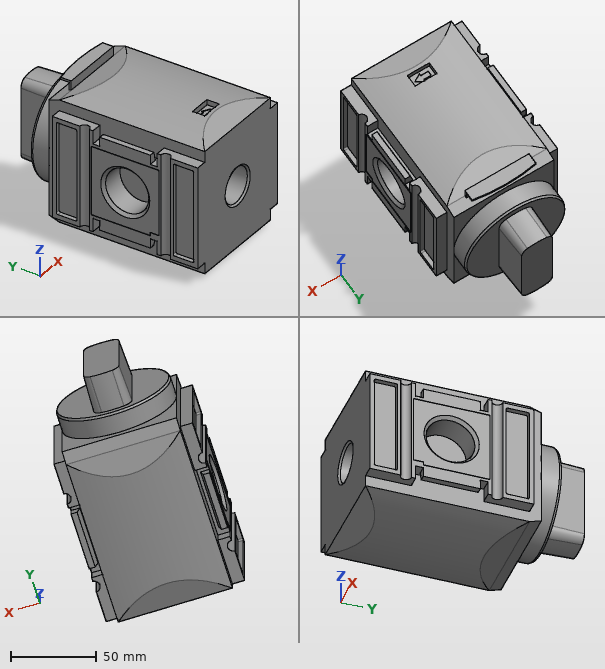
import cadquery as cq
import math

total_width = 85.0
total_length = 144.7
top_height = 48.9

core_width = 70.0
core_half_width = core_width / 2
body_length = 101.9
shoulder_height = total_width / 2
crown_height = 46.6
crown_slope_length = 15.6
collar_length = 7.4
collar_end_height = 40.0
collar_end = body_length + collar_length

pad_face_x = -total_width / 2
pad_half_height = core_half_width
port_y = body_length / 2
groove_spacing = 56.7
groove_radius = 3.3
gap_length = 45.0
gap_floor_height = 25.9
tab_length = 35.5
tab_height = 32.3
tab_tip_thickness = 3.8
tab_root_thickness = 5.5
tab_embedding = 1.5
seat_size = 47.5
seat_depth = 0.3
seat_corner_radius = 0.7
seat_key_length = 6.1
seat_key_height = 2.2
pocket_length = 14.3
pocket_height = 63.7
pocket_depth = 3.0
pocket_corner_radius = 1.0
pocket_spacing = 81.9

side_port_diameter = 30.2
side_port_chamfer = 2.0
side_port_depth = 17.4
front_port_diameter = 24.2
front_port_chamfer = 1.23
front_port_depth = 15.8

flange_diameter = core_width
flange_end = 122.0
flange_chamfer_length = 1.5
flange_chamfer_height = 0.7
grip_flat_half_height = 22.7
grip_top_half_width = 6.8
grip_edge_drop = 0.8
grip_root_half_width = 11.7
grip_root_half_height = 29.8
grip_tip_half_width = 10.9
grip_tip_half_height = 28.8

bracket_width = 44.9
bracket_thickness = 1.5
bracket_side_end = 109.4
bracket_middle_end = 111.4
bracket_foot_height = 39.0

window_y = 22.3
window_width = 15.3
window_length = 8.4
window_depth = 3.8
arrow_depth = 0.5
arrow_half_length = 5.2
arrow_shaft_half_width = 1.6
arrow_head_half_width = 3.0


def box_between(x_range, y_range, z_range):
    """Axis-aligned box from its low and high limits on each axis."""
    size = [high - low for low, high in (x_range, y_range, z_range)]
    low_corner = (x_range[0], y_range[0], z_range[0])
    return cq.Workplane("XY").box(*size, centered=False).translate(low_corner)


def along_y(start):
    """XZ sketch plane at Y = start whose normal points to +Y (sketch x is -X)."""
    return cq.Workplane(cq.Plane((0, start, 0), xDir=(-1, 0, 0), normal=(0, 1, 0)))


def make_core():
    crowned_prism = (
        along_y(0)
        .moveTo(-core_half_width, -shoulder_height)
        .lineTo(-core_half_width, shoulder_height)
        .threePointArc((0, crown_height), (core_half_width, shoulder_height))
        .lineTo(core_half_width, -shoulder_height)
        .threePointArc((0, -crown_height), (-core_half_width, -shoulder_height))
        .close()
        .extrude(collar_end)
    )
    upper_outline = [
        (0, shoulder_height),
        (crown_slope_length, crown_height),
        (body_length - crown_slope_length, crown_height),
        (body_length, shoulder_height),
        (collar_end, collar_end_height),
    ]
    lower_outline = [(y, -z) for y, z in reversed(upper_outline)]
    side_outline = (
        cq.Workplane("YZ").polyline(upper_outline + lower_outline).close()
        .extrude(core_half_width, both=True)
    )
    return crowned_prism.intersect(side_outline)


def make_tab():
    """Upper retaining tab of the -X pad: its inner face slopes out towards the root."""
    return (
        along_y(port_y - tab_length / 2)
        .polyline([
            (-pad_face_x, gap_floor_height - tab_embedding),
            (-pad_face_x, tab_height),
            (-pad_face_x - tab_tip_thickness, tab_height),
            (-pad_face_x - tab_root_thickness, gap_floor_height),
            (-pad_face_x - tab_root_thickness, gap_floor_height - tab_embedding),
        ])
        .close()
        .extrude(tab_length)
    )


def make_seat_cut():
    """Shallow square seat around the -X port, stepped in at its lower front corner."""
    half = seat_size / 2
    seat = (
        box_between(
            (pad_face_x, pad_face_x + seat_depth),
            (port_y - half, port_y + half),
            (-half, half),
        )
        .edges("|X").fillet(seat_corner_radius)
    )
    key = box_between(
        (pad_face_x, pad_face_x + seat_depth),
        (port_y - half, port_y - half + seat_key_length),
        (-half, -half + seat_key_height),
    )
    return seat.cut(key)


def make_pad():
    """The -X pad with its grooves, pockets, gaps, tabs and port seat."""
    pad = box_between((pad_face_x, 0), (0, body_length), (-pad_half_height, pad_half_height))

    gap = box_between(
        (pad_face_x, -core_half_width),
        (port_y - gap_length / 2, port_y + gap_length / 2),
        (gap_floor_height, pad_half_height),
    )
    tab = make_tab()
    pad = pad.cut(gap).cut(gap.mirror("XY")).union(tab).union(tab.mirror("XY"))

    for side in (-1, 1):
        groove = (
            cq.Workplane("XY", origin=(pad_face_x, port_y + side * groove_spacing / 2, 0))
            .circle(groove_radius).extrude(pad_half_height, both=True)
        )
        pocket = (
            cq.Workplane("XY").box(pocket_depth, pocket_length, pocket_height)
            .edges("|X").fillet(pocket_corner_radius)
            .translate((pad_face_x + pocket_depth / 2, port_y + side * pocket_spacing / 2, 0))
        )
        pad = pad.cut(groove).cut(pocket)
    return pad.cut(make_seat_cut())


def make_port(diameter, chamfer, depth):
    """Blind chamfered port opening at the origin and running into +Z."""
    radius = diameter / 2
    return (
        cq.Workplane("XZ")
        .polyline([(0, 0), (radius + chamfer, 0), (radius, chamfer), (radius, depth), (0, depth)])
        .close()
        .revolve(360, (0, 0, 0), (0, 1, 0))
    )


def corner_middle(half_width, edge_height):
    """Middle of the grip's +x upper corner arc, which is tangent to the flat side."""
    run = half_width - grip_top_half_width
    rise = edge_height - grip_flat_half_height
    radius = (run ** 2 + rise ** 2) / (2 * run)
    half_angle = math.atan2(run, rise)
    x = half_width - radius * (1 - math.cos(half_angle))
    z = grip_flat_half_height + radius * math.sin(half_angle)
    return x, z


def draw_grip_section(sketch, half_width, half_height):
    """Grip outline: flat sides, rounded corners and a gently curved top and bottom."""
    edge_height = half_height - grip_edge_drop
    corner_x, corner_z = corner_middle(half_width, edge_height)
    sketch = sketch.moveTo(half_width, -grip_flat_half_height)
    for turn in (1, -1):
        sketch = (
            sketch
            .lineTo(turn * half_width, turn * grip_flat_half_height)
            .threePointArc(
                (turn * corner_x, turn * corner_z),
                (turn * grip_top_half_width, turn * edge_height))
            .threePointArc(
                (0, turn * half_height),
                (-turn * grip_top_half_width, turn * edge_height))
            .threePointArc(
                (-turn * corner_x, turn * corner_z),
                (-turn * half_width, turn * grip_flat_half_height))
        )
    return sketch.close()


def make_knob():
    flange = (
        along_y(collar_end).circle(flange_diameter / 2).extrude(flange_end - collar_end)
        .faces(">Y").chamfer(flange_chamfer_length, flange_chamfer_height)
    )
    grip = draw_grip_section(along_y(flange_end), grip_root_half_width, grip_root_half_height)
    grip = grip.workplane(offset=total_length - flange_end)
    grip = draw_grip_section(grip, grip_tip_half_width, grip_tip_half_height).loft(ruled=True)
    return flange.union(grip)


def make_bracket():
    half_width = bracket_width / 2
    upright = box_between(
        (-half_width, half_width),
        (body_length, body_length + bracket_thickness),
        (bracket_foot_height, top_height),
    )
    shelf = (
        cq.Workplane("XY", origin=(0, 0, top_height - bracket_thickness))
        .moveTo(-half_width, body_length)
        .lineTo(-half_width, bracket_side_end)
        .threePointArc((0, bracket_middle_end), (half_width, bracket_side_end))
        .lineTo(half_width, body_length)
        .close()
        .extrude(bracket_thickness)
    )
    return upright.union(shelf)


def make_arrow_window():
    """Window sunk into the crown, with a +X arrow engraved in its floor."""
    floor = crown_height - window_depth
    window = (
        cq.Workplane("XY", origin=(0, window_y, floor))
        .rect(window_width, window_length).extrude(window_depth)
    )
    arrow = (
        cq.Workplane("XY", origin=(0, window_y, floor - arrow_depth))
        .polyline([
            (-arrow_half_length, -arrow_shaft_half_width),
            (0, -arrow_shaft_half_width),
            (0, -arrow_head_half_width),
            (arrow_half_length, 0),
            (0, arrow_head_half_width),
            (0, arrow_shaft_half_width),
            (-arrow_half_length, arrow_shaft_half_width),
        ])
        .close()
        .extrude(arrow_depth)
    )
    return window.union(arrow)


pad = make_pad()
side_port = (
    make_port(side_port_diameter, side_port_chamfer, side_port_depth)
    .rotate((0, 0, 0), (0, 1, 0), 90)
    .translate((pad_face_x + seat_depth, port_y, 0))
)
front_port = (
    make_port(front_port_diameter, front_port_chamfer, front_port_depth)
    .rotate((0, 0, 0), (1, 0, 0), -90)
)

result = (
    make_core()
    .union(pad)
    .union(pad.mirror("YZ"))
    .union(make_knob())
    .union(make_bracket())
    .cut(side_port)
    .cut(side_port.mirror("YZ"))
    .cut(front_port)
    .cut(make_arrow_window())
)